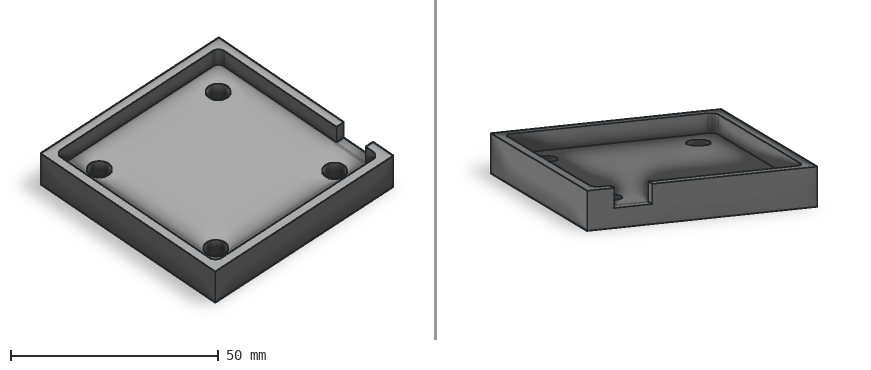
import cadquery as cq

side = 60.0
height = 10.0

wall = 2.5
pocket_depth = 5.0
pocket_corner_radius = 2.0
pocket_side = side - 2 * wall
floor_z = height - pocket_depth

hole_diameter = 6.0
hole_spacing = 40.0

notch_width = 10.0
notch_center_x = 18.0
notch_overrun = 0.5
notch_length = wall + notch_overrun


def make_block():
    return cq.Workplane("XY").box(side, side, height, centered=(True, True, False))


def make_pocket():
    floor_plane = cq.Workplane("XY").workplane(offset=floor_z)
    pocket = floor_plane.rect(pocket_side, pocket_side).extrude(pocket_depth)
    return pocket.edges("|Z").fillet(pocket_corner_radius)


def make_holes():
    centers = cq.Workplane("XY").rect(hole_spacing, hole_spacing, forConstruction=True).vertices()
    return centers.circle(hole_diameter / 2).extrude(height)


def make_notch():
    notch = cq.Workplane("XY").box(notch_width, notch_length, pocket_depth, centered=(True, False, False))
    return notch.translate((notch_center_x, side / 2 - notch_length, floor_z))


tray = make_block().cut(make_pocket()).cut(make_holes())

result = tray.cut(make_notch(), clean=False)